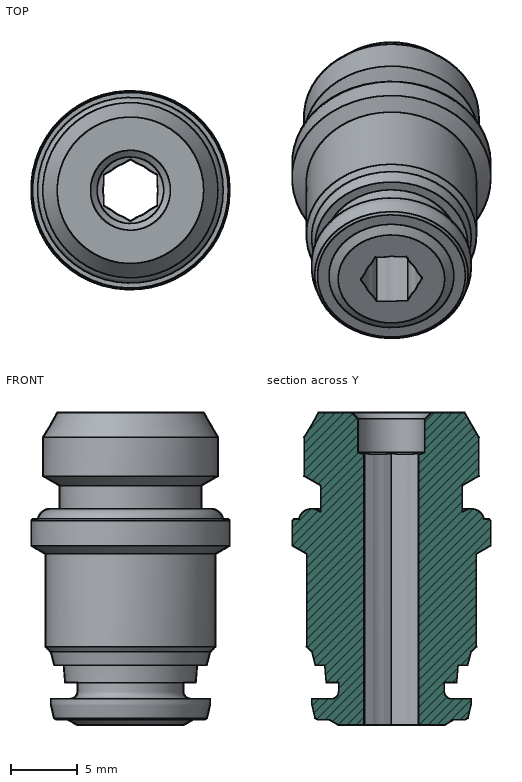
import cadquery as cq
import math

height = 23.5
cone_slope = math.tan(math.radians(30))

foot_radius = 4.0
foot_height = 0.4
foot_top_radius = foot_radius + foot_height / cone_slope
flange_radius = 6.0
flange_bottom_radius = 5.76
flange_corner_height = 0.12
flange_corner_width = flange_corner_height / cone_slope
flange_taper_top = 1.54
flange_top = 2.0

stem_radius = 4.0
stem_fillet = 0.5
stem_top = 3.2

lower_step_bottom_radius = 4.92
lower_step_top_radius = 5.03
lower_step_top = 4.5
upper_step_bottom_radius = 5.74
upper_step_top_radius = 6.0
upper_step_top = 5.5

body_radius = 12.8 / 2
body_chamfer = body_radius - upper_step_top_radius

collar_radius = 14.95 / 2
collar_bottom = 13.48
collar_top = 15.5
collar_chamfer = 0.13
collar_cone_height = (collar_radius - body_radius) * cone_slope

ring_center_radius = 6.0
ring_section_radius = 1.0
ring_center_height = 15.27

neck_radius = 10.7 / 2
neck_top = 18.0
head_radius = 13.16 / 2
head_top_radius = 5.5
head_bottom = neck_top + (head_radius - neck_radius) * cone_slope
head_cone_height = (head_radius - head_top_radius) / cone_slope

bore_radius = 5.0 / 2
bore_mouth_radius = 6.0 / 2
bore_depth = 3.0
bore_floor_slope = math.tan(math.radians(20))
pilot_radius = 4.1 / 2
hex_across_flats = 4.0


def make_turned_body():
    """Outer shape, turned about Z from a half profile (radius, height)."""
    profile = (
        cq.Workplane("XZ")
        .moveTo(0, 0)
        .lineTo(foot_radius, 0)
        .lineTo(foot_top_radius, foot_height)
        .lineTo(flange_bottom_radius - flange_corner_width, foot_height)
        .lineTo(flange_bottom_radius, foot_height + flange_corner_height)
        .lineTo(flange_radius, flange_taper_top)
        .lineTo(flange_radius, flange_top)
        .lineTo(stem_radius + stem_fillet, flange_top)
        .radiusArc((stem_radius, flange_top + stem_fillet), stem_fillet)
        .lineTo(stem_radius, stem_top)
        .lineTo(lower_step_bottom_radius, stem_top)
        .lineTo(lower_step_top_radius, lower_step_top)
        .lineTo(upper_step_bottom_radius, lower_step_top)
        .lineTo(upper_step_top_radius, upper_step_top)
        .lineTo(body_radius, upper_step_top + body_chamfer)
        .lineTo(body_radius, collar_bottom - collar_cone_height)
        .lineTo(collar_radius, collar_bottom)
        .lineTo(collar_radius, collar_top - collar_chamfer)
        .lineTo(collar_radius - collar_chamfer, collar_top)
        .lineTo(neck_radius, collar_top)
        .lineTo(neck_radius, neck_top)
        .lineTo(head_radius, head_bottom)
        .lineTo(head_radius, height - head_cone_height)
        .lineTo(head_top_radius, height)
        .lineTo(0, height)
        .close()
    )
    return profile.revolve(360, (0, 0, 0), (0, 1, 0))


def make_ring():
    """Torus about Z, partly sunk into the collar and the neck."""
    return (
        cq.Workplane("XZ")
        .center(ring_center_radius, ring_center_height)
        .circle(ring_section_radius)
        .revolve(360, (-ring_center_radius, 0, 0), (-ring_center_radius, 1, 0))
    )


def make_bore():
    """Round bore in the top face with a countersunk mouth and a conical floor."""
    mouth_depth = bore_mouth_radius - bore_radius
    return (
        cq.Workplane("XZ")
        .moveTo(0, height - bore_depth - bore_radius * bore_floor_slope)
        .lineTo(bore_radius, height - bore_depth)
        .lineTo(bore_radius, height - mouth_depth)
        .lineTo(bore_mouth_radius, height)
        .lineTo(0, height)
        .close()
        .revolve(360, (0, 0, 0), (0, 1, 0))
    )


def make_pilot_hole():
    """Round through hole, slightly wider than the flats of the hexagon."""
    return cq.Workplane("XY").circle(pilot_radius).extrude(height)


def make_hex_hole():
    """Hexagonal through hole with two flats facing along X."""
    across_corners = hex_across_flats / math.cos(math.radians(30))
    return (
        cq.Workplane("XY")
        .transformed(rotate=(0, 0, 30))
        .polygon(6, across_corners)
        .extrude(height)
    )


outer_shape = make_turned_body().union(make_ring())
result = outer_shape.cut(make_bore()).cut(make_pilot_hole()).cut(make_hex_hole())